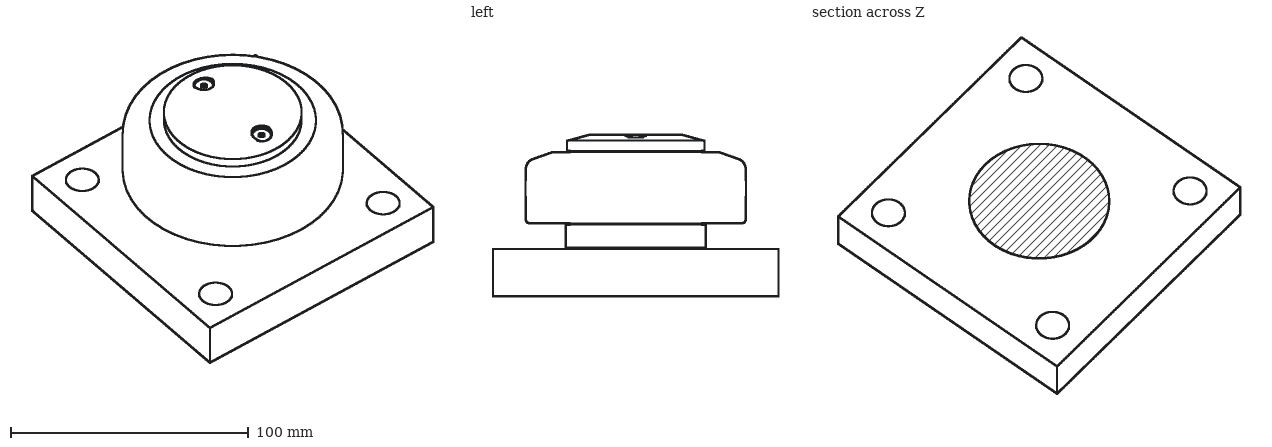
import cadquery as cq

plate_side = 120.0
plate_thickness = 20.0
plate_hole_diameter = 13.84
plate_hole_spacing = 90.0

neck_diameter = 59.0

gap_height = 0.5
gap_core_diameter = 55.5

roller_diameter = 92.8
roller_crown = 0.1
roller_bottom_z = 30.7
roller_top_z = 60.7
roller_bottom_fillet = 1.8
roller_face_diameter = 70.0
roller_shoulder_diameter = 87.5
roller_shoulder_z = 57.6
roller_shoulder_fillet_z = 53.5

cap_diameter = 58.0
cap_rim_z = 65.45
cap_flat_diameter = 39.0
total_height = 68.0

recess_offset = cap_flat_diameter / 2
recess_diameter = 8.6
recess_floor_diameter = 7.8
recess_depth = 1.5
socket_diameter = 2.6
socket_depth = 1.0


def cylinder(diameter, bottom_z, top_z):
    return cq.Workplane("XY").workplane(offset=bottom_z).circle(diameter / 2).extrude(top_z - bottom_z)


def make_neck():
    core = cylinder(gap_core_diameter, plate_thickness, roller_bottom_z)
    body = cylinder(neck_diameter, plate_thickness + gap_height, roller_bottom_z - gap_height)
    return core.union(body)


def make_plate():
    plate = cq.Workplane("XY").box(plate_side, plate_side, plate_thickness, centered=(True, True, False))
    return (
        plate.faces(">Z")
        .workplane()
        .rect(plate_hole_spacing, plate_hole_spacing, forConstruction=True)
        .vertices()
        .hole(plate_hole_diameter)
    )


def make_roller():
    crown_radius = roller_diameter / 2
    edge_radius = crown_radius - roller_crown
    crown_bottom_z = roller_bottom_z + roller_bottom_fillet
    crown_middle_z = (crown_bottom_z + roller_shoulder_fillet_z) / 2
    shoulder_radius = roller_shoulder_diameter / 2
    profile = (
        cq.Workplane("XZ")
        .moveTo(0, roller_bottom_z)
        .lineTo(edge_radius - roller_bottom_fillet, roller_bottom_z)
        .radiusArc((edge_radius, crown_bottom_z), -roller_bottom_fillet)
        .threePointArc((crown_radius, crown_middle_z), (edge_radius, roller_shoulder_fillet_z))
        .tangentArcPoint((shoulder_radius, roller_shoulder_z), relative=False)
        .lineTo(roller_face_diameter / 2, roller_top_z)
        .lineTo(0, roller_top_z)
        .close()
    )
    return profile.revolve(360, (0, 0, 0), (0, 1, 0))


def make_cap():
    cap_bottom_z = roller_top_z + gap_height
    profile = (
        cq.Workplane("XZ")
        .moveTo(0, roller_top_z)
        .lineTo(gap_core_diameter / 2, roller_top_z)
        .lineTo(gap_core_diameter / 2, cap_bottom_z)
        .lineTo(cap_diameter / 2, cap_bottom_z)
        .lineTo(cap_diameter / 2, cap_rim_z)
        .lineTo(cap_flat_diameter / 2, total_height)
        .lineTo(0, total_height)
        .close()
    )
    return profile.revolve(360, (0, 0, 0), (0, 1, 0))


def make_recess(x):
    floor_z = total_height - recess_depth
    bevel = (recess_diameter - recess_floor_diameter) / 2
    recess = cylinder(recess_diameter, floor_z, total_height).faces("<Z").chamfer(bevel)
    socket = cylinder(socket_diameter, floor_z - socket_depth, floor_z)
    return recess.union(socket).translate((x, 0, 0))


result = make_plate()
result = result.union(make_neck())
result = result.union(make_roller())
result = result.union(make_cap())
for x in (-recess_offset, recess_offset):
    result = result.cut(make_recess(x))